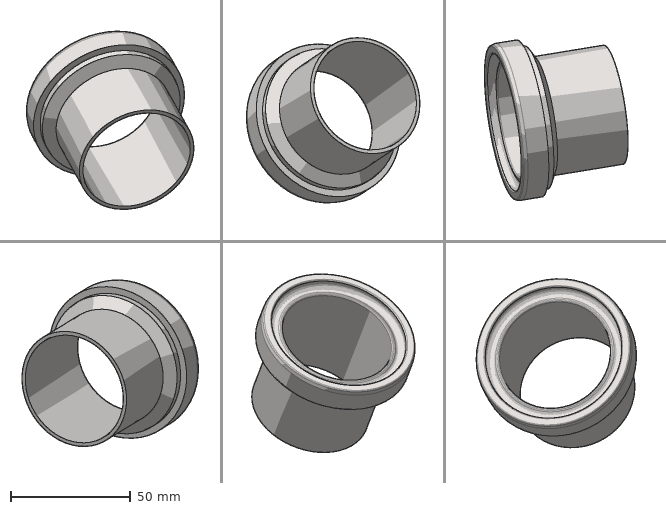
import cadquery as cq
import math

LENGTH = 47.5
TAPER_END = 2.0
FLANGE_BACK = 11.05
SHOULDER_END = 14.0
CONE_END = 16.85

FLANGE_RADIUS = 66.9 / 2
SHOULDER_RADIUS = 61.0 / 2
TUBE_RADIUS = 50.8 / 2
BORE_RADIUS = 47.5 / 2

TAPER_ANGLE = 15.0
FACE_RADIUS = FLANGE_RADIUS - TAPER_END * math.tan(math.radians(TAPER_ANGLE))

MOUTH_RADIUS = 29.25
SEAT_WALL_END = 2.8
SEAT_WALL_END_RADIUS = 29.1
SEAT_DEPTH = 4.0
SEAT_BOTTOM_RADIUS = 27.2
LIP_X = 3.15
LIP_RADIUS = 25.15
LIP_SLOPE_ANGLE = 42.0

FACE_FILLET = 0.55
LIP_FILLET = 1.1
BORE_FILLET = 0.5


def revolved_body():
    """Turn the half section in the XY plane about the X axis."""
    slope = math.radians(LIP_SLOPE_ANGLE)
    along_axis = (1, 0)
    up_to_lip = (-math.sin(slope), -math.cos(slope))
    section = (
        cq.Workplane("XY")
        .moveTo(0, MOUTH_RADIUS)
        .spline(
            [
                (SEAT_WALL_END, SEAT_WALL_END_RADIUS),
                (SEAT_DEPTH, SEAT_BOTTOM_RADIUS),
                (LIP_X, LIP_RADIUS),
            ],
            tangents=[along_axis, up_to_lip],
            includeCurrent=True,
        )
        .lineTo(LIP_X, BORE_RADIUS)
        .lineTo(LENGTH, BORE_RADIUS)
        .lineTo(LENGTH, TUBE_RADIUS)
        .lineTo(CONE_END, TUBE_RADIUS)
        .lineTo(SHOULDER_END, SHOULDER_RADIUS)
        .lineTo(FLANGE_BACK, SHOULDER_RADIUS)
        .lineTo(FLANGE_BACK, FLANGE_RADIUS)
        .lineTo(TAPER_END, FLANGE_RADIUS)
        .lineTo(0, FACE_RADIUS)
        .close()
    )
    return section.revolve(360, (0, 0, 0), (1, 0, 0))


def round_ring(body, x, radius, fillet):
    """Fillet the circular edge at one axial position and radius."""
    tolerance = 0.01
    edges = [
        edge
        for edge in body.edges("%CIRCLE").vals()
        if abs(edge.Center().x - x) < tolerance and abs(edge.radius() - radius) < tolerance
    ]
    return body.newObject(edges).fillet(fillet)


result = revolved_body()
result = round_ring(result, 0, FACE_RADIUS, FACE_FILLET)
result = round_ring(result, 0, MOUTH_RADIUS, FACE_FILLET)
result = round_ring(result, LIP_X, LIP_RADIUS, LIP_FILLET)
result = round_ring(result, LIP_X, BORE_RADIUS, BORE_FILLET)